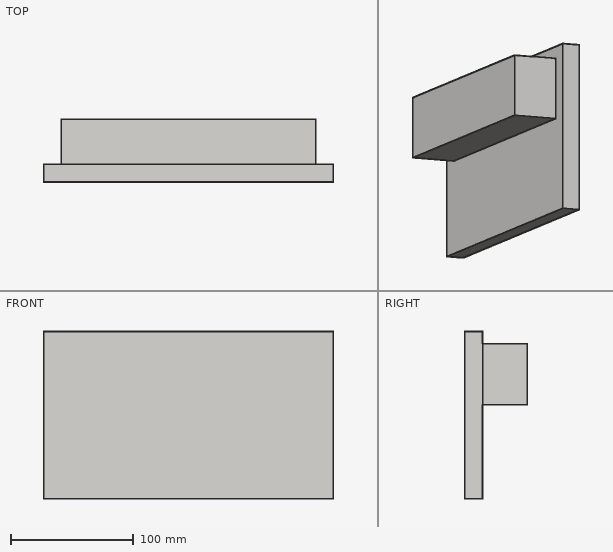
import cadquery as cq

plate_width = 237.0
plate_height = 137.0
plate_thickness = 14.7

overall_depth = 51.5
block_width = 208.0
block_height = 50.0
block_top_margin = 10.0
block_depth = overall_depth - plate_thickness
block_bottom = plate_height - block_top_margin - block_height

plate = cq.Workplane("XY").box(
    plate_width, plate_thickness, plate_height, centered=(True, False, False)
)

block = (
    cq.Workplane("XY")
    .box(block_width, block_depth, block_height, centered=(True, False, False))
    .translate((0, plate_thickness, block_bottom))
)

result = plate.union(block)